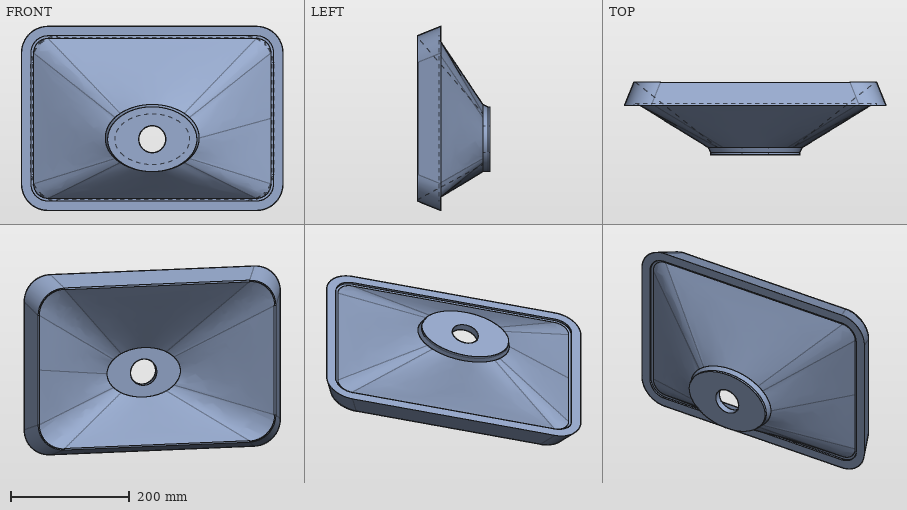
import cadquery as cq

WIDTH = 440.0
HEIGHT = 310.0
DEPTH = 122.65

RIM_CORNER_RADIUS = 45.0
RIM_TAPER = 16.0
CORNER_RISE = 0.65
RIM_UNDERSIDE_Y = 83.0

UNDERSIDE_BAND = 16.0
GROOVE_WIDTH = 4.5
GROOVE_DEPTH = 3.5
GROOVE_FLOOR_Y = RIM_UNDERSIDE_Y + GROOVE_DEPTH
BOWL_INSET = UNDERSIDE_BAND + GROOVE_WIDTH

FOOT_CENTER_Z = -35.0
FOOT_RADIUS_X = 75.0
FOOT_RADIUS_Z = 54.5
FOOT_STRAIGHT_DEPTH = 4.0
NECK_Y = 12.2
NECK_CENTER_Z = -33.0
NECK_RADIUS_X = 79.0
NECK_RADIUS_Z = 56.5

WALL = 12.0
RIM_TOP_WIDTH = 2.0
OPENING_INSET = RIM_TAPER + RIM_TOP_WIDTH
OPENING_CORNER_RADIUS = RIM_CORNER_RADIUS - RIM_TOP_WIDTH
DRAIN_DIAMETER = 45.0


def rounded_rectangle(inset, radius, y):
    """Sketch in the plane at y: the overall rectangle moved inward by inset, corners rounded."""
    outline = (
        cq.Sketch()
        .rect(WIDTH - 2 * inset, HEIGHT - 2 * inset)
        .vertices()
        .fillet(radius)
    )
    return cq.Workplane("XZ", origin=(0, y, 0)).placeSketch(outline)


def rim_outline(inset, y):
    """Sketch in the plane at y, at a constant distance inside the widest rim outline."""
    return rounded_rectangle(inset, RIM_CORNER_RADIUS - inset, y)


def wire_of(sketched):
    """Boundary wire of a placed sketch."""
    return sketched.extrude(-1).faces("<Y").wires().val()


def oval(radius_x, radius_z, center_z, y):
    """Oval wire in the plane at y, wider along X than along Z."""
    return (
        cq.Workplane("XZ", origin=(0, y, center_z))
        .ellipse(radius_x, radius_z)
        .wires()
        .val()
    )


def loft(lower, upper):
    """Solid with straight sides between two wires."""
    return cq.Workplane(cq.Solid.makeLoft([lower, upper], True))


def rim():
    underside = wire_of(rounded_rectangle(0, RIM_CORNER_RADIUS, RIM_UNDERSIDE_Y))
    top = wire_of(rounded_rectangle(RIM_TAPER, RIM_CORNER_RADIUS, DEPTH))
    body = loft(underside, top)
    corner_margin = 2 * (RIM_TAPER + RIM_CORNER_RADIUS)
    spans = ((WIDTH - corner_margin, HEIGHT), (WIDTH, HEIGHT - corner_margin))
    for span_x, span_z in spans:
        lowered = cq.Workplane("XY").box(span_x, 2 * CORNER_RISE, span_z)
        body = body.cut(lowered.translate((0, DEPTH, 0)))
    return body


def groove_cut():
    """Recess inside the underside band; the bowl later fills its middle."""
    return rim_outline(UNDERSIDE_BAND, RIM_UNDERSIDE_Y).extrude(-GROOVE_DEPTH)


def bowl():
    neck = oval(NECK_RADIUS_X, NECK_RADIUS_Z, NECK_CENTER_Z, NECK_Y)
    return loft(neck, wire_of(rim_outline(BOWL_INSET, GROOVE_FLOOR_Y)))


def foot():
    base = (
        cq.Workplane("XZ", origin=(0, 0, FOOT_CENTER_Z))
        .ellipse(FOOT_RADIUS_X, FOOT_RADIUS_Z)
        .extrude(-FOOT_STRAIGHT_DEPTH)
    )
    flare_start = oval(FOOT_RADIUS_X, FOOT_RADIUS_Z, FOOT_CENTER_Z, FOOT_STRAIGHT_DEPTH)
    flare_end = oval(NECK_RADIUS_X, NECK_RADIUS_Z, NECK_CENTER_Z, NECK_Y)
    return base.union(loft(flare_start, flare_end))


def cavity():
    """Open basin, sloping from its oval floor straight out to the rim edge."""
    floor = oval(FOOT_RADIUS_X - WALL, FOOT_RADIUS_Z - WALL, FOOT_CENTER_Z, WALL)
    opening = wire_of(rounded_rectangle(OPENING_INSET, OPENING_CORNER_RADIUS, DEPTH))
    return loft(floor, opening)


def drain():
    return (
        cq.Workplane("XZ", origin=(0, 0, FOOT_CENTER_Z))
        .circle(DRAIN_DIAMETER / 2)
        .extrude(-DEPTH)
    )


result = rim().cut(groove_cut()).union(bowl()).union(foot()).cut(cavity()).cut(drain())